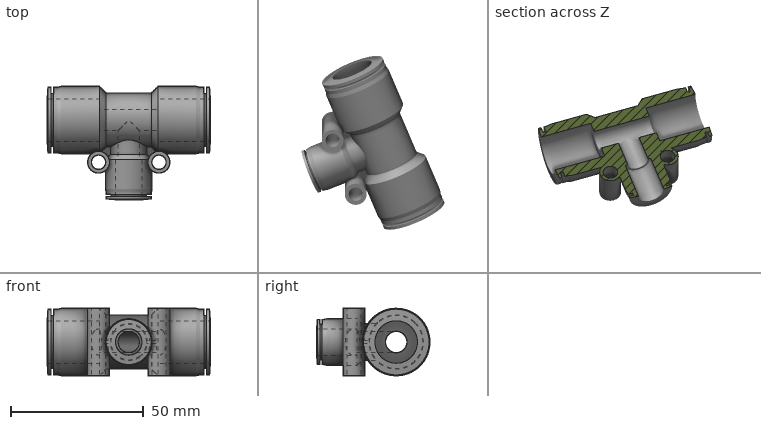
import cadquery as cq

RUN = dict(
    tip=30.8,
    rim_outer=30.5,
    rim_inner=29.25,
    groove_end=28.35,
    land_end=26.85,
    taper_end=25.4,
    shoulder=11.1,
    neck_start=8.5,
    body_radius=12.75,
    rim_radius=12.4,
    groove_radius=10.05,
    neck_radius=10.2,
    socket_radius=8.0,
)

BRANCH = dict(
    tip=30.05,
    rim_outer=29.75,
    rim_inner=28.75,
    groove_end=27.95,
    land_end=27.5,
    taper_end=26.1,
    shoulder=14.8,
    neck_start=13.0,
    body_radius=8.8,
    rim_radius=8.5,
    groove_radius=6.7,
    neck_radius=6.95,
    socket_radius=5.0,
)

PASSAGE_RADIUS = 4.0

EYELET_X = 11.4
EYELET_Y = -15.9
EYELET_RADIUS = 4.1
EYELET_HOLE_RADIUS = 2.65
EYELET_HEIGHT = 2 * RUN["body_radius"]

WEB_THICKNESS = 1.25
WEB_OVERLAP = 1.25


def port_body(port):
    """Solid port along +X, from the centre to its slightly conical end face."""
    outline = [
        (0, 0),
        (0, port["neck_radius"]),
        (port["neck_start"], port["neck_radius"]),
        (port["shoulder"], port["body_radius"]),
        (port["taper_end"], port["body_radius"]),
        (port["land_end"], port["rim_radius"]),
        (port["groove_end"], port["rim_radius"]),
        (port["groove_end"], port["groove_radius"]),
        (port["rim_inner"], port["groove_radius"]),
        (port["rim_inner"], port["rim_radius"]),
        (port["rim_outer"], port["rim_radius"]),
        (port["tip"], port["socket_radius"]),
        (port["tip"], 0),
    ]
    return cq.Workplane("XY").polyline(outline).close().revolve(360, (0, 0), (1, 0))


def port_bore(port):
    """Tube socket down to the shoulder, then the common flow passage."""
    passage = cq.Workplane("YZ").circle(PASSAGE_RADIUS).extrude(port["tip"])
    socket = (
        cq.Workplane("YZ", origin=(port["shoulder"], 0, 0))
        .circle(port["socket_radius"])
        .extrude(port["tip"] - port["shoulder"])
    )
    return passage.union(socket)


def eyelet_cylinder(side, radius):
    """Full-height cylinder on the axis of the eyelet at side -1 or +1."""
    return (
        cq.Workplane("XY", origin=(side * EYELET_X, EYELET_Y, -EYELET_HEIGHT / 2))
        .circle(radius)
        .extrude(EYELET_HEIGHT)
    )


def web(side):
    """Flat web in the corner between run, branch neck and eyelet."""
    inner_x = BRANCH["neck_radius"] - WEB_OVERLAP
    run_y = WEB_OVERLAP - RUN["neck_radius"]
    width = EYELET_X - inner_x
    depth = run_y - EYELET_Y
    return cq.Workplane("XY").box(width, depth, WEB_THICKNESS).translate(
        (side * (inner_x + width / 2), EYELET_Y + depth / 2, 0)
    )


def place_on_all_ports(make):
    """Union of one feature made for the two run ports and the branch."""
    right = make(RUN)
    left = right.mirror("YZ")
    branch = make(BRANCH).rotate((0, 0, 0), (0, 0, 1), -90)
    return right.union(left).union(branch)


result = place_on_all_ports(port_body)
for side in (-1, 1):
    result = result.union(eyelet_cylinder(side, EYELET_RADIUS))
    result = result.union(web(side))

result = result.cut(place_on_all_ports(port_bore))
for side in (-1, 1):
    result = result.cut(eyelet_cylinder(side, EYELET_HOLE_RADIUS))